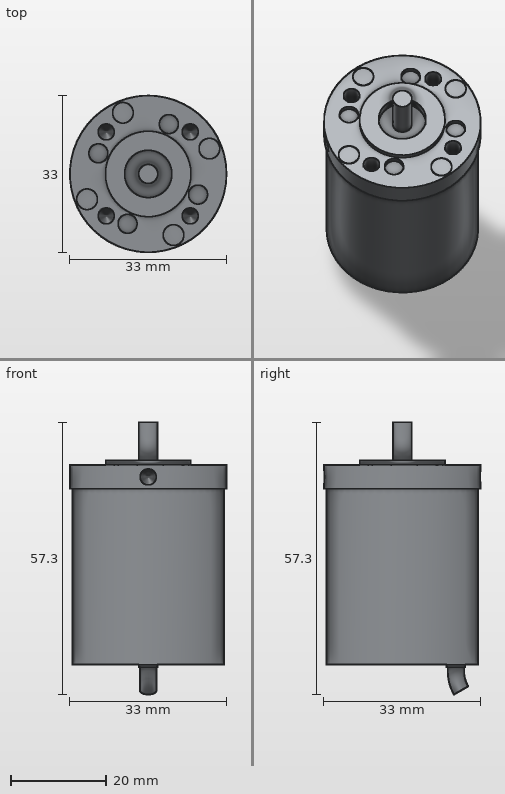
import cadquery as cq
import math

flange_diameter = 33.0
flange_thickness = 5.05
body_diameter = 32.0
body_length = 36.95
pilot_diameter = 18.0
pilot_height = 1.05
shaft_diameter = 4.0
shaft_height = 9.0
bore_diameter = 9.95
bore_depth = 2.0

drill_diameter = 3.4
drill_depth = 5.0
drill_tip_angle = 118
mount_circle_radius = 12.5
mount_start_angle = 45
rim_hole_depth = 4.0

inner_recess_diameter = 4.0
inner_recess_depth = 1.05
inner_circle_radius = 11.35
inner_start_angle = 67.5
outer_recess_diameter = 4.35
outer_recess_depth = 0.2
outer_circle_radius = 13.9
outer_start_angle = 22.5
holes_per_circle = 4

cable_offset = 11.3
collar_diameter = 4.0
collar_height = 0.5
cable_diameter = 3.5
cable_straight = 0.9
bend_radius = 8.0
bend_angle = 30

rear_z = -flange_thickness - body_length


def cylinder(diameter, bottom, height):
    """Cylinder on the Z axis."""
    return cq.Workplane("XY").workplane(offset=bottom).circle(diameter / 2).extrude(height)


def drill():
    """Drilled hole below Z = 0 on the Z axis, with a conical tip."""
    radius = drill_diameter / 2
    tip_length = radius / math.tan(math.radians(drill_tip_angle / 2))
    profile = [(0, 0), (radius, 0), (radius, -drill_depth), (0, -drill_depth - tip_length)]
    return cq.Workplane("XZ").polyline(profile).close().revolve(360, (0, 0), (0, 1))


def around_axis(tool, radius, start_angle):
    """Equally spaced copies of a tool on a circle around the Z axis."""
    copies = cq.Workplane("XY")
    for index in range(holes_per_circle):
        angle = start_angle + index * 360 / holes_per_circle
        copies.add(tool.translate((radius, 0, 0)).rotate((0, 0, 0), (0, 0, 1), angle))
    return copies.combine()


def rim_hole(side):
    """Radial drilled hole halfway up the rim, on the -Y (-1) or +Y (1) side."""
    mouth_y = flange_diameter / 2 + drill_depth - rim_hole_depth
    tool = drill().rotate((0, 0, 0), (1, 0, 0), -side * 90)
    return tool.translate((0, side * mouth_y, -flange_thickness / 2))


def cable():
    """Collar, short straight run and a bend swinging outward to +Y."""
    straight_bottom = rear_z - collar_height - cable_straight
    collar = cylinder(collar_diameter, rear_z - collar_height, collar_height)
    straight = cylinder(cable_diameter, straight_bottom, collar_height + cable_straight)
    bend = (
        cq.Workplane("XY")
        .workplane(offset=straight_bottom)
        .circle(cable_diameter / 2)
        .revolve(bend_angle, (0, bend_radius), (1, bend_radius))
    )
    return collar.union(straight).union(bend).translate((0, cable_offset, 0))


result = (
    cylinder(flange_diameter, -flange_thickness, flange_thickness)
    .union(cylinder(body_diameter, rear_z, body_length))
    .union(cylinder(pilot_diameter, 0, pilot_height))
)
bore_floor = pilot_height - bore_depth
result = result.cut(cylinder(bore_diameter, bore_floor, bore_depth))
result = result.union(cylinder(shaft_diameter, bore_floor, shaft_height - bore_floor))

inner_recess = cylinder(inner_recess_diameter, -inner_recess_depth, inner_recess_depth)
outer_recess = cylinder(outer_recess_diameter, -outer_recess_depth, outer_recess_depth)
result = (
    result.cut(around_axis(drill(), mount_circle_radius, mount_start_angle))
    .cut(around_axis(inner_recess, inner_circle_radius, inner_start_angle))
    .cut(around_axis(outer_recess, outer_circle_radius, outer_start_angle))
)
for rim_side in (-1, 1):
    result = result.cut(rim_hole(rim_side))

result = result.union(cable())